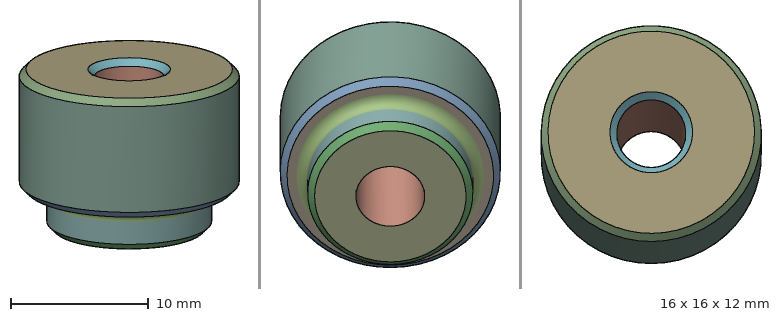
import cadquery as cq

body_diameter = 16.0
spigot_diameter = 12.0
bore_diameter = 5.0
total_height = 12.0
spigot_height = 3.0
edge_chamfer = 0.5
neck_fillet_radius = 0.8

body_height = total_height - spigot_height


def make_body():
    """Main cylinder, chamfered on both rims."""
    return (
        cq.Workplane("XY", origin=(0, 0, spigot_height))
        .circle(body_diameter / 2)
        .extrude(body_height)
        .faces("<Z or >Z")
        .edges()
        .chamfer(edge_chamfer)
    )


def make_spigot():
    """Smaller cylinder below the body, chamfered on its lower rim."""
    return (
        cq.Workplane("XY")
        .circle(spigot_diameter / 2)
        .extrude(spigot_height)
        .faces("<Z")
        .edges()
        .chamfer(edge_chamfer)
    )


def fillet_neck(part):
    """Round the inside corner where the spigot meets the body."""
    corner_zone = cq.selectors.BoxSelector(
        (-body_diameter, -body_diameter, spigot_height - edge_chamfer / 2),
        (body_diameter, body_diameter, spigot_height + edge_chamfer / 2),
    )
    return part.edges(corner_zone).edges(cq.selectors.RadiusNthSelector(0)).fillet(neck_fillet_radius)


def cut_bore(part):
    """Through bore with a countersunk upper rim."""
    bored = part.faces(">Z").workplane().hole(bore_diameter)
    bore_rim = cq.selectors.RadiusNthSelector(0)
    return bored.faces(">Z").edges(bore_rim).chamfer(edge_chamfer)


result = cut_bore(fillet_neck(make_body().union(make_spigot())))